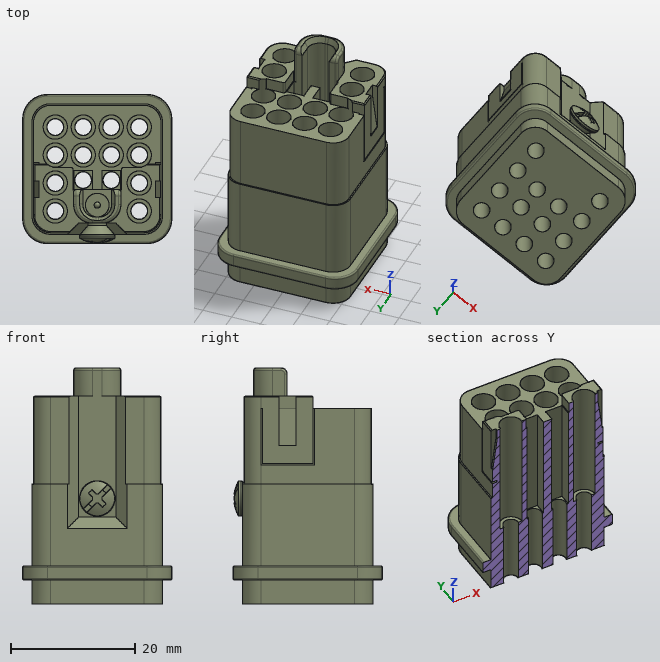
import cadquery as cq
import math

FLANGE_BOTTOM = 3.9
FLANGE_TOP = 6.15
LOWER_TOP = 19.3
DECK_TOP = 31.5
RAISED_TOP = 33.5
GUARD_TOP = 38.0

FLANGE_SIZE = 24.0
FLANGE_RADIUS = 4.0
FLANGE_ROUNDING = 0.25
LOWER_SIZE = 21.0
LOWER_RADIUS = 3.0
UPPER_SIZE = 20.5
UPPER_RADIUS = LOWER_RADIUS - (LOWER_SIZE - UPPER_SIZE) / 2
UPPER_HALF = UPPER_SIZE / 2

RAISED_REAR_Y = 0.85
RAISED_INNER_REAR_Y = 0.25
RAISED_INNER_X = 3.9
RAISED_BEND_OUTER_X = 8.05
RAISED_BEND_INNER_X = 7.05
DECK_NOTCH_FRONT_Y = -3.4
RAISED_CHAMFER = 0.2
RAISED_CORNER_RADIUS = 0.3

CONTACT_PITCH = 4.5
CHAMBER_DIAMETER = 3.9
CHAMBER_FLOOR = 12.0
CONTACT_HOLE_DIAMETER = 2.65
POCKET_INNER_X = 0.77
POCKET_OUTER_X = 3.77
POCKET_REAR_Y = -0.25

GUARD_HALF_WIDTH = 3.8
GUARD_REAR_Y = -3.3
GUARD_FRONT_Y = -8.7
GUARD_CORNER_RADIUS = 3.0
GUARD_REAR_ROUNDING = 1.0
GUARD_ROUNDING = 0.4
CAVITY_HALF_WIDTH = 2.33
CAVITY_FRONT_Y = -7.75
CAVITY_CORNER_RADIUS = 2.1
CAVITY_FLOOR = 22.0
CAVITY_CHAMFER_WIDTH = 0.5
CAVITY_CHAMFER_HEIGHT = 1.0
TERMINAL_Y = -5.8
TERMINAL_DIAMETER = 3.8
TERMINAL_DEPTH = 2.0
TERMINAL_TIP_RADIUS = 0.5

GROOVE_FLOOR_Y = GUARD_FRONT_Y
GROOVE_FLOOR_HALF_WIDTH = 3.0
GROOVE_FLOOR_BOTTOM = 14.0

SCREW_Z = 17.0
SHANK_RADIUS = 1.5
CONE_START_Y = -9.1
CONE_END_Y = -10.5
CONE_END_RADIUS = 2.75
HEAD_RADIUS = 2.85
HEAD_BACK_Y = -10.75
HEAD_RIM_Y = -11.12
HEAD_TIP_Y = -11.9
SCREW_ROOT_Y = -8.0
DRIVE_WIDTH = 0.8
SLOT_LENGTH = 2 * HEAD_RADIUS
SLOT_FLOOR_Y = -11.15
CROSS_LENGTH = 3.2
CROSS_FLOOR_Y = -10.9
CROSS_HUB_RADIUS = 0.75
DRIVE_ANGLE = 45

GAP_WIDTH = 0.22
GAP_DEPTH = 0.9
PANEL_BOTTOM = 22.6
PANEL_FRONT_Y = -7.3
SLOT_REAR_Y = -1.9
SLOT_FRONT_Y = -4.6
SLOT_BOTTOM = 25.5
SLOT_DEPTH = 0.9
SLOT_LIP = 0.1


def box(x_range, y_range, z_range):
    """Axis-aligned box between pairs of coordinates."""
    size_x = x_range[1] - x_range[0]
    size_y = y_range[1] - y_range[0]
    size_z = z_range[1] - z_range[0]
    corner = (x_range[0], y_range[0], z_range[0])
    return cq.Workplane("XY").box(size_x, size_y, size_z, centered=False).translate(corner)


def rounded_square(size, radius, bottom, top):
    """Upright square block with rounded corners."""
    block = cq.Workplane("XY").workplane(offset=bottom).rect(size, size).extrude(top - bottom)
    return block.edges("|Z").fillet(radius)


def cylinder(x, y, diameter, bottom, top):
    plane = cq.Workplane("XY").workplane(offset=bottom)
    return plane.center(x, y).circle(diameter / 2).extrude(top - bottom)


def make_raised_deck():
    """Front part of the upper body, with a chamfered outer top edge."""
    front = box((-UPPER_HALF, UPPER_HALF), (-UPPER_HALF, RAISED_REAR_Y), (LOWER_TOP, RAISED_TOP))
    front = front.edges("|Z and <Y").fillet(UPPER_RADIUS)
    front = front.faces(">Z").chamfer(RAISED_CHAMFER)
    notch_outline = [
        (-RAISED_INNER_X, DECK_NOTCH_FRONT_Y),
        (-RAISED_INNER_X, RAISED_INNER_REAR_Y),
        (-RAISED_BEND_INNER_X, RAISED_INNER_REAR_Y),
        (-RAISED_BEND_OUTER_X, RAISED_REAR_Y),
        (RAISED_BEND_OUTER_X, RAISED_REAR_Y),
        (RAISED_BEND_INNER_X, RAISED_INNER_REAR_Y),
        (RAISED_INNER_X, RAISED_INNER_REAR_Y),
        (RAISED_INNER_X, DECK_NOTCH_FRONT_Y),
    ]
    notch = cq.Workplane("XY").workplane(offset=DECK_TOP).polyline(notch_outline).close()
    notch = notch.extrude(RAISED_TOP - DECK_TOP)
    front = front.cut(notch)
    corners = cq.selectors.BoxSelector(
        (-RAISED_INNER_X - RAISED_CORNER_RADIUS, 0, DECK_TOP),
        (RAISED_INNER_X + RAISED_CORNER_RADIUS, 2 * RAISED_INNER_REAR_Y, RAISED_TOP),
    )
    return front.edges("|Z").edges(corners).fillet(RAISED_CORNER_RADIUS)


def make_body():
    lower = rounded_square(LOWER_SIZE, LOWER_RADIUS, 0, LOWER_TOP)
    upper = rounded_square(UPPER_SIZE, UPPER_RADIUS, LOWER_TOP, DECK_TOP)
    flange = rounded_square(FLANGE_SIZE, FLANGE_RADIUS, FLANGE_BOTTOM, FLANGE_TOP)
    flange = flange.faces("<Z or >Z").edges().fillet(FLANGE_ROUNDING)
    return lower.union(upper).union(flange).union(make_raised_deck())


def make_guard():
    """Wall around the earth terminal, rounded along its outer edge."""
    guard = box(
        (-GUARD_HALF_WIDTH, GUARD_HALF_WIDTH),
        (GUARD_FRONT_Y, GUARD_REAR_Y),
        (CAVITY_FLOOR, GUARD_TOP),
    )
    guard = guard.edges("|Z and <Y").fillet(GUARD_CORNER_RADIUS)
    guard = guard.edges(">Y and >Z").fillet(GUARD_REAR_ROUNDING)
    return guard.faces(">Y").edges("|Z").fillet(GUARD_ROUNDING)


def cavity_outline(grow):
    """Rounded outline mirrored about the rear of the guard, grown outward evenly."""
    width = 2 * (CAVITY_HALF_WIDTH + grow)
    length = 2 * (GUARD_REAR_Y - CAVITY_FRONT_Y + grow)
    return cq.Sketch().rect(width, length).vertices().fillet(CAVITY_CORNER_RADIUS + grow)


def make_cavity():
    """Cavity with a chamfered mouth, open to the rear above the deck, and the terminal in its floor."""
    mouth_plane = cq.Workplane("XY", origin=(0, GUARD_REAR_Y, GUARD_TOP))
    mouth_taper = math.degrees(math.atan2(CAVITY_CHAMFER_WIDTH, CAVITY_CHAMFER_HEIGHT))
    shaft = mouth_plane.placeSketch(cavity_outline(0)).extrude(CAVITY_FLOOR - GUARD_TOP)
    mouth = mouth_plane.placeSketch(cavity_outline(CAVITY_CHAMFER_WIDTH))
    mouth = mouth.extrude(-CAVITY_CHAMFER_HEIGHT, taper=mouth_taper)
    front_half = box(
        (-GUARD_HALF_WIDTH, GUARD_HALF_WIDTH),
        (GUARD_FRONT_Y, GUARD_REAR_Y),
        (CAVITY_FLOOR, GUARD_TOP),
    )
    terminal_floor = CAVITY_FLOOR - TERMINAL_DEPTH
    well = cylinder(0, TERMINAL_Y, TERMINAL_DIAMETER, terminal_floor, CAVITY_FLOOR)
    tip = cq.Workplane("XY").sphere(TERMINAL_TIP_RADIUS).translate((0, TERMINAL_Y, terminal_floor))
    return shaft.union(mouth).intersect(front_half).union(well).cut(tip)


def make_contact_openings():
    """Chambers and through holes for the twelve contacts, and two square pockets behind the guard."""
    columns = [(index - 1.5) * CONTACT_PITCH for index in range(4)]
    outer_columns = (columns[0], columns[-1])
    openings = cq.Workplane("XY")
    for row, y in enumerate(columns):
        front_row = row < 2
        for x in outer_columns if front_row else columns:
            openings = openings.add(cylinder(x, y, CHAMBER_DIAMETER, CHAMBER_FLOOR, RAISED_TOP))
            openings = openings.add(cylinder(x, y, CONTACT_HOLE_DIAMETER, 0, CHAMBER_FLOOR))
    hole_y = (POCKET_REAR_Y + GUARD_REAR_Y) / 2
    pocket_x_ranges = ((-POCKET_OUTER_X, -POCKET_INNER_X), (POCKET_INNER_X, POCKET_OUTER_X))
    for x_range in pocket_x_ranges:
        pocket = box(x_range, (GUARD_REAR_Y, POCKET_REAR_Y), (CHAMBER_FLOOR, DECK_TOP))
        openings = openings.add(pocket)
        hole_x = sum(x_range) / 2
        openings = openings.add(cylinder(hole_x, hole_y, CONTACT_HOLE_DIAMETER, 0, CHAMBER_FLOOR))
    return openings.combine()


def make_groove():
    """Groove open at the top, widening at 45 degrees from its floor to the front face."""
    depth = LOWER_SIZE / 2 + GROOVE_FLOOR_Y
    mouth_half_width = GROOVE_FLOOR_HALF_WIDTH + depth
    face_y = GROOVE_FLOOR_Y - depth
    section = [
        (-GROOVE_FLOOR_HALF_WIDTH, GROOVE_FLOOR_Y),
        (GROOVE_FLOOR_HALF_WIDTH, GROOVE_FLOOR_Y),
        (mouth_half_width, face_y),
        (-mouth_half_width, face_y),
    ]
    bottom = GROOVE_FLOOR_BOTTOM - depth
    channel = cq.Workplane("XY").workplane(offset=bottom).polyline(section).close()
    channel = channel.extrude(RAISED_TOP - bottom)
    ramp_outline = [
        (GROOVE_FLOOR_Y, GROOVE_FLOOR_BOTTOM),
        (GROOVE_FLOOR_Y, bottom),
        (face_y, bottom),
    ]
    ramp = cq.Workplane("YZ").polyline(ramp_outline).close().extrude(mouth_half_width, both=True)
    return channel.cut(ramp)


def make_screw():
    """Domed countersunk screw pointing to the rear, with a cross and slot drive."""
    dome_rise = HEAD_RIM_Y - HEAD_TIP_Y
    dome_radius = (HEAD_RADIUS**2 + dome_rise**2) / (2 * dome_rise)
    dome_mid_x = HEAD_RADIUS / 2
    dome_centre_y = HEAD_TIP_Y + dome_radius
    dome_mid_y = dome_centre_y - math.sqrt(dome_radius**2 - dome_mid_x**2)
    screw = (
        cq.Workplane("XY")
        .moveTo(0, SCREW_ROOT_Y)
        .lineTo(SHANK_RADIUS, SCREW_ROOT_Y)
        .lineTo(SHANK_RADIUS, CONE_START_Y)
        .lineTo(CONE_END_RADIUS, CONE_END_Y)
        .lineTo(HEAD_RADIUS, HEAD_BACK_Y)
        .lineTo(HEAD_RADIUS, HEAD_RIM_Y)
        .threePointArc((dome_mid_x, dome_mid_y), (0, HEAD_TIP_Y))
        .close()
        .revolve(360, (0, 0, 0), (0, 1, 0))
    )
    half_width = DRIVE_WIDTH / 2
    half_cross = CROSS_LENGTH / 2
    half_slot = SLOT_LENGTH / 2
    cross_y = (HEAD_TIP_Y, CROSS_FLOOR_Y)
    cross = box((-half_cross, half_cross), cross_y, (-half_width, half_width))
    cross = cross.union(box((-half_width, half_width), cross_y, (-half_cross, half_cross)))
    hub = cq.Workplane("XZ", origin=(0, CROSS_FLOOR_Y, 0)).circle(CROSS_HUB_RADIUS)
    cross = cross.union(hub.extrude(CROSS_FLOOR_Y - HEAD_TIP_Y))
    slot = box((-half_slot, half_slot), (HEAD_TIP_Y, SLOT_FLOOR_Y), (-half_width, half_width))
    drive = cross.union(slot).rotate((0, 0, 0), (0, 1, 0), -DRIVE_ANGLE)
    return screw.cut(drive).translate((0, 0, SCREW_Z))


def make_side_latch():
    """Parting gap and wedge slot in the -X side face."""
    x_range = (-UPPER_HALF, -UPPER_HALF + GAP_DEPTH)
    outer = box(
        x_range,
        (PANEL_FRONT_Y - GAP_WIDTH, RAISED_REAR_Y + GAP_WIDTH),
        (PANEL_BOTTOM - GAP_WIDTH, DECK_TOP),
    )
    panel = box(x_range, (PANEL_FRONT_Y, RAISED_REAR_Y), (PANEL_BOTTOM, DECK_TOP))
    slot_outline = [
        (-UPPER_HALF, RAISED_TOP),
        (-UPPER_HALF, SLOT_BOTTOM),
        (-UPPER_HALF + SLOT_LIP, SLOT_BOTTOM),
        (-UPPER_HALF + SLOT_DEPTH, DECK_TOP),
        (-UPPER_HALF + SLOT_DEPTH, RAISED_TOP),
    ]
    slot = cq.Workplane("XZ", origin=(0, SLOT_REAR_Y, 0)).polyline(slot_outline).close()
    return outer.cut(panel).union(slot.extrude(SLOT_REAR_Y - SLOT_FRONT_Y))


left_latch = make_side_latch()
right_latch = left_latch.mirror("YZ")

result = (
    make_body()
    .cut(make_groove())
    .union(make_guard())
    .cut(make_contact_openings())
    .cut(make_cavity())
    .cut(left_latch)
    .cut(right_latch)
    .union(make_screw())
)